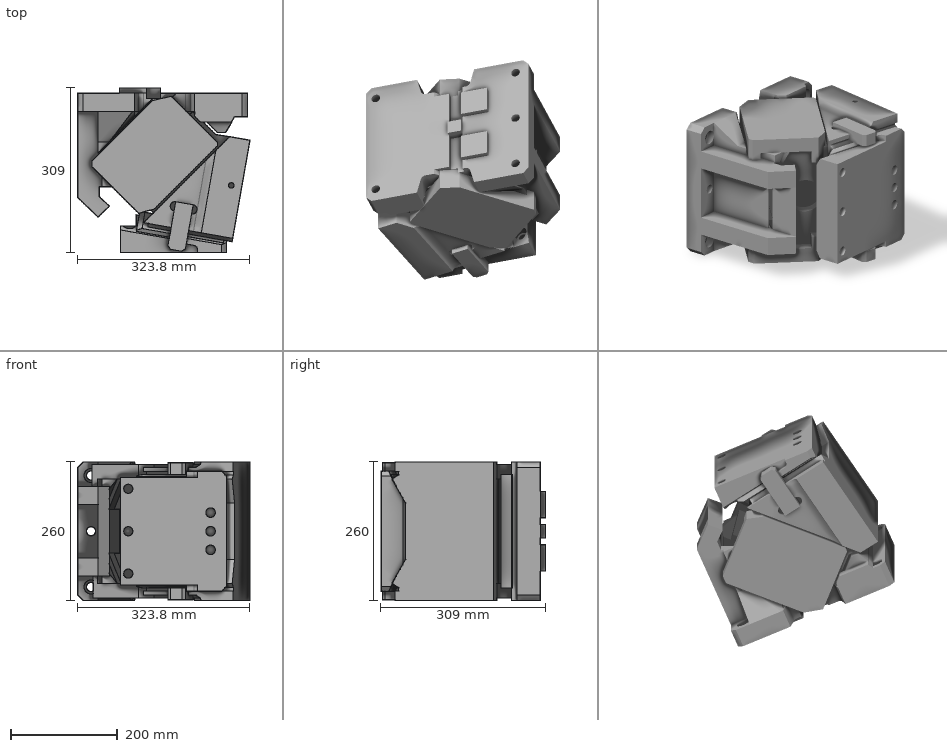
import cadquery as cq
import math

LENGTH = 323.8
HEIGHT = 260.0
HALF_HEIGHT = HEIGHT / 2
PRESS_ANGLE = 10.0
FLANK_ANGLE = math.radians(60)
VEE_SLOPE = math.tan(FLANK_ANGLE)
FLANK_DEPTH_SHARE = math.sin(FLANK_ANGLE)
MARGIN = 485.7

TRAVEL_ACROSS = (1, -1, 0)
TRAVEL_ALONG = (1, 1, 0)
SIN_PRESS = math.sin(math.radians(PRESS_ANGLE))
COS_PRESS = math.cos(math.radians(PRESS_ANGLE))
PRESS_STROKE = (COS_PRESS, -SIN_PRESS, 0)
PRESS_RISE = (SIN_PRESS, COS_PRESS, 0)


def travel_plan(z=0.0):
    return cq.Workplane(cq.Plane((0, 0, z), TRAVEL_ACROSS, (0, 0, 1)))


def press_plan(z=0.0):
    return cq.Workplane(cq.Plane((0, 0, z), PRESS_STROKE, (0, 0, 1)))


def travel_section(along):
    """Section plane across the 45 degree travel, at a distance along it."""
    shift = along / math.sqrt(2)
    return cq.Workplane(cq.Plane((shift, shift, 0), TRAVEL_ACROSS, TRAVEL_ALONG))


def press_section(stroke):
    """Section plane across the driver travel; local x is "rise" and local y is Z."""
    origin = (stroke * COS_PRESS, -stroke * SIN_PRESS, 0)
    return cq.Workplane(cq.Plane(origin, PRESS_RISE, PRESS_STROKE))


def slab(points, half_height):
    """Plan outline in X and Y, extruded equally up and down from Z = 0."""
    return cq.Workplane("XY").polyline(points).close().extrude(half_height, both=True)


def box(x0, x1, y0, y1, z0, z1):
    return cq.Workplane("XY").box(x1 - x0, y1 - y0, z1 - z0, centered=False).translate((x0, y0, z0))


def mirrored(upper):
    """The upper feature together with its mirror image below Z = 0."""
    return upper.union(upper.mirror("XY"))


def hole_along_y(x, z, diameter, y, depth):
    """Round hole whose mouth is at y and which runs towards +Y."""
    axis = cq.Vector(0, 1, 0)
    return cq.Workplane(cq.Solid.makeCylinder(diameter / 2, depth, cq.Vector(x, y, z), axis))


BED_ACROSS = -67.5
BED_HALF = 40.8
CORE_HALF = 98.0
BED_MOUTH_ACROSS = BED_ACROSS + (CORE_HALF - BED_HALF) / VEE_SLOPE
GROOVE_END_ALONG = 345.0
PLATE_ROOM_END_ALONG = 336.0
RIDGE_FOOT_RISE = 65.5
RIDGE_FOOT_HALF = 106.5
RIDGE_TOP_RISE = 96.5


def ridge_half(rise):
    """Half width of the press guide at a given rise."""
    return RIDGE_FOOT_HALF - (rise - RIDGE_FOOT_RISE) * VEE_SLOPE


BAR_LEFT, BAR_RIGHT = 164.8, 198.2
BAR_FRONT, BAR_BACK = 36.3, 126.0
BAR_BOTTOM, BAR_TOP = 106.5, 129.0
PLATE_TOP = 125.3
PLATE_LEFT, PLATE_RIGHT = -102.3, 44.0
PLATE_FRONT, PLATE_BACK = 133.0, 332.0
LIP_INNER = -80.3
LIP_CLEARANCE = 2.3

ARM_THICK = 41.0
ARM_INNER, ARM_OUTER = 50.0, 84.2
LIP_BOTTOM = ARM_OUTER

BASE_LENGTH = 319.3
BASE_BACK = 299.2
WALL_FRONT = 264.5
RIGHT_WALL_FRONT = 255.0
WALL_CHAMFER = 10.5
NOTCH_LEFT, NOTCH_RIGHT = 107.0, 219.5
NOTCH_FLOOR = 94.0
NOTCH_TAPER = 9.7
NOTCH_FILLET = 9.7

WEB_FACE = 38.5
CORE_FRONT = 123.0
CORE_LEDGE_X = 45.5
BOSS_FRONT = 244.8
NOSE_FRONT = 225.0
NOSE_HALF = 107.0
GUSSET_TAPER = 9.7

BOLT_X, BOLT_Z = 25.3, 104.5
RIGHT_BOLT_X = 300.5
BOLT_DIAMETER = 17.0
COUNTERBORE_DIAMETER = 26.2
COUNTERBORE_DEPTH = 16.2

KEY_BACK = 309.0
PAD_LEFT, KEY_LEFT, KEY_RIGHT = 78.7, 129.5, 155.8
PAD_LOW, PAD_HIGH = 25.3, 74.8
KEY_SEAT = 289.2
KEY_HALF = 13.0


def back_wall():
    """Chamfered wall with a tapered notch above and below its middle."""
    wall = box(0, BASE_LENGTH, WALL_FRONT, BASE_BACK, -HALF_HEIGHT, HALF_HEIGHT)
    wall = wall.union(box(NOTCH_RIGHT, BASE_LENGTH, RIGHT_WALL_FRONT, BASE_BACK, -HALF_HEIGHT, HALF_HEIGHT))
    wall = wall.edges("|Y and (<X or >X)").chamfer(WALL_CHAMFER)
    notch = (
        cq.Workplane("XZ", origin=(0, BASE_BACK + 3.2, 0))
        .moveTo(NOTCH_LEFT, HALF_HEIGHT)
        .lineTo(NOTCH_LEFT + NOTCH_TAPER, NOTCH_FLOOR)
        .lineTo(NOTCH_RIGHT - NOTCH_TAPER, NOTCH_FLOOR)
        .lineTo(NOTCH_RIGHT, HALF_HEIGHT)
        .close()
        .extrude(MARGIN)
        .edges("|Y and <Z")
        .fillet(NOTCH_FILLET)
    )
    return wall.cut(mirrored(notch))


def right_boss():
    """Pad on the right of the wall, with a lower tapered nose."""
    boss_right, boss_foot = 289.0, 295.0
    nose_right, nose_foot = 277.8, 289.8
    boss = slab([(NOTCH_RIGHT, WALL_FRONT), (NOTCH_RIGHT, BOSS_FRONT), (boss_right, BOSS_FRONT),
                 (boss_foot, RIGHT_WALL_FRONT), (boss_foot, WALL_FRONT)], HALF_HEIGHT)
    nose = slab([(NOTCH_RIGHT, WALL_FRONT), (NOTCH_RIGHT, NOSE_FRONT), (nose_right, NOSE_FRONT),
                 (nose_foot, BOSS_FRONT), (nose_foot, WALL_FRONT)], NOSE_HALF)
    return boss.union(nose)


def guide_core():
    """Body that carries the 45 degree groove."""
    mouth_shift = BED_MOUTH_ACROSS * math.sqrt(2)
    core = slab([(ARM_THICK, CORE_FRONT), (CORE_FRONT + mouth_shift, CORE_FRONT),
                 (WALL_FRONT + mouth_shift, WALL_FRONT), (ARM_THICK, WALL_FRONT)], CORE_HALF)
    ledge = box(ARM_THICK, CORE_LEDGE_X, CORE_FRONT, WALL_FRONT, ARM_OUTER, CORE_HALF)
    return core.cut(mirrored(ledge))


def gussets():
    """Sloped ribs from the core up to the wall, tapered on the side towards the slider."""
    foot, end = 207.2, 187.0
    rib = (
        cq.Workplane("YZ", origin=(WEB_FACE, 0, 0))
        .polyline([(WALL_FRONT, 0), (WALL_FRONT, HALF_HEIGHT), (foot, CORE_HALF), (end, CORE_HALF), (end, 0)])
        .close()
        .extrude(NOTCH_LEFT - WEB_FACE)
    )
    channel_side = PLATE_LEFT - LIP_CLEARANCE
    taper = (
        travel_section(0)
        .polyline([(-MARGIN, -HALF_HEIGHT), (channel_side - GUSSET_TAPER, -HALF_HEIGHT),
                   (channel_side, -CORE_HALF), (channel_side, CORE_HALF),
                   (channel_side - GUSSET_TAPER, HALF_HEIGHT), (-MARGIN, HALF_HEIGHT)])
        .close()
        .extrude(MARGIN)
    )
    return mirrored(rib).intersect(taper)


def arms():
    """Two hooked arms on the left, with a web at their tips and a thin panel up to the wall."""
    panel_front = 133.7
    tip_left, tip, tip_right, throat = (0, 103.3), (WEB_FACE, 66.5), (60.0, 87.0), (ARM_THICK, 104.5)
    outline = [(0, WALL_FRONT), tip_left, tip, tip_right, throat, (ARM_THICK, WALL_FRONT)]
    web = slab([tip, tip_right, throat, (ARM_THICK, CORE_FRONT), (WEB_FACE, CORE_FRONT)], ARM_INNER)
    arm = cq.Workplane("XY", origin=(0, 0, ARM_INNER)).polyline(outline).close().extrude(ARM_OUTER - ARM_INNER)
    panel = box(WEB_FACE, ARM_THICK, panel_front, WALL_FRONT, -ARM_INNER, ARM_INNER)
    return mirrored(arm).union(web).union(panel)


def guide_groove():
    """Space for the slider: a vee groove, and room above and below it for the side plates."""
    groove = (
        travel_section(GROOVE_END_ALONG - MARGIN)
        .polyline([(BED_ACROSS, -BED_HALF), (BED_MOUTH_ACROSS, -CORE_HALF), (BED_MOUTH_ACROSS, -NOSE_HALF),
                   (MARGIN, -NOSE_HALF), (MARGIN, NOSE_HALF), (BED_MOUTH_ACROSS, NOSE_HALF),
                   (BED_MOUTH_ACROSS, CORE_HALF), (BED_ACROSS, BED_HALF)])
        .close()
        .extrude(MARGIN)
    )
    plate_room = (
        travel_section(PLATE_ROOM_END_ALONG - MARGIN)
        .center(BED_MOUTH_ACROSS + MARGIN / 2, 0)
        .rect(MARGIN, 2 * HALF_HEIGHT)
        .extrude(MARGIN)
    )
    return groove.union(plate_room)


def lip_channels():
    """Channels behind the guide, in which the lips of the side plates run."""
    outer = PLATE_LEFT - LIP_CLEARANCE
    channel = travel_section(0).polyline(
        [(outer, LIP_BOTTOM), (outer, HALF_HEIGHT), (LIP_INNER, HALF_HEIGHT), (LIP_INNER, LIP_BOTTOM)]
    ).close().extrude(MARGIN)
    return mirrored(channel)


def fit_keys(base):
    """Two pads on the rear face, and a central key in an upright slot beside them."""
    pad = box(PAD_LEFT, KEY_LEFT, BASE_BACK, KEY_BACK, PAD_LOW, PAD_HIGH)
    slot = box(KEY_LEFT, KEY_RIGHT, KEY_SEAT, BASE_BACK, -HALF_HEIGHT, HALF_HEIGHT)
    key = box(KEY_LEFT, KEY_RIGHT, KEY_SEAT, KEY_BACK, -KEY_HALF, KEY_HALF)
    return base.union(mirrored(pad)).cut(slot).union(key)


def drill_base(base):
    """Counterbored holes near the four corners and a plain one between the arms."""
    for x, face in ((BOLT_X, WALL_FRONT), (RIGHT_BOLT_X, RIGHT_WALL_FRONT)):
        for z in (-BOLT_Z, BOLT_Z):
            base = base.cut(hole_along_y(x, z, BOLT_DIAMETER, face, MARGIN))
            base = base.cut(hole_along_y(x, z, COUNTERBORE_DIAMETER, face, COUNTERBORE_DEPTH))
    return base.cut(hole_along_y(BOLT_X, 0, BOLT_DIAMETER, WALL_FRONT, MARGIN))


def make_base():
    base = back_wall().union(right_boss()).union(guide_core()).union(gussets())
    base = base.cut(guide_groove()).union(arms()).cut(lip_channels())
    return drill_base(fit_keys(base))


DRIVER_LEFT, DRIVER_RIGHT = 80.3, 279.8
DRIVER_HALF = 112.7
DRIVER_LOW_HALF = 101.0
LOW_END_X = 225.0
DRIVER_CHAMFER = 9.5
SHELF_Y = 50.2
COLUMN_LEFT, COLUMN_BACK = 110.0, 73.0
HIGH_START_X = 187.8
HIGH_FLANK_RISE = 61.5
LOW_FLANK_RISE = 55.7
POCKET_RISE = 51.2
POCKET_RADIUS = 8.0
PAD_START, PAD_END = 101.7, 266.5
LEAD_IN_END, LEAD_IN_DEPTH = 111.5, 5.5


def flanked_plate(x0, x1, y1, half_height, flank_rise):
    """Upright plate whose rear is tapered along the press guide."""
    core_top = 89.0
    top_half = half_height - (core_top - flank_rise) * VEE_SLOPE
    taper = (
        press_section(-MARGIN)
        .polyline([(-MARGIN, -half_height), (flank_rise, -half_height), (core_top, -top_half),
                   (core_top, top_half), (flank_rise, half_height), (-MARGIN, half_height)])
        .close()
        .extrude(2 * MARGIN)
    )
    return box(x0, x1, 0, y1, -HALF_HEIGHT, HALF_HEIGHT).intersect(taper)


def bar_pocket():
    """Clearance pocket for the return bar in the full-height part."""
    def edge_y(x):
        return (POCKET_RISE - x * SIN_PRESS) / COS_PRESS

    left = HIGH_START_X - 3.2
    outline = [(left, -POCKET_RADIUS), (LOW_END_X, -POCKET_RADIUS), (LOW_END_X, edge_y(LOW_END_X)),
               (left, edge_y(left))]
    pocket = cq.Workplane("XY", origin=(0, 0, DRIVER_LOW_HALF)).polyline(outline).close().extrude(HALF_HEIGHT)
    pocket = pocket.edges("|Z").edges(">X").edges(">Y").fillet(POCKET_RADIUS)
    bar_path = press_plan(DRIVER_LOW_HALF).rect(2 * BAR_RIGHT, MARGIN).extrude(HALF_HEIGHT)
    return pocket.union(bar_path)


def ridge_section(stroke, inset):
    """Outline of the ridge whose flanks are moved inwards by an inset; its lower edges are square to them."""
    edge_rise = 58.3
    edge_half = RIDGE_FOOT_HALF - (RIDGE_FOOT_RISE - edge_rise) / VEE_SLOPE
    foot_rise = RIDGE_FOOT_RISE - inset * FLANK_DEPTH_SHARE
    foot_half = RIDGE_FOOT_HALF - inset * FLANK_DEPTH_SHARE / VEE_SLOPE
    top_half = ridge_half(RIDGE_TOP_RISE) - inset * FLANK_DEPTH_SHARE * (VEE_SLOPE + 1 / VEE_SLOPE)
    return press_section(stroke).polyline(
        [(edge_rise, -edge_half), (foot_rise, -foot_half), (RIDGE_TOP_RISE, -top_half),
         (RIDGE_TOP_RISE, top_half), (foot_rise, foot_half), (edge_rise, edge_half)]
    ).close()


def wear_ridge():
    """Vee ridge on the driver, with a tapered lead-in at its left end."""
    full = ridge_section(LEAD_IN_END, 0).extrude(PAD_END - LEAD_IN_END)
    sections = [ridge_section(PAD_START, LEAD_IN_DEPTH).val(), ridge_section(LEAD_IN_END, 0).val()]
    return full.union(cq.Workplane(cq.Solid.makeLoft(sections, True)))


def driver_holes():
    """Bolt holes through the left edge, counterbored from behind, and blind holes."""
    left_x, left_z, left_diameter, dowel_depth = 95.2, 79.5, 17.2, 26
    right_x, right_z, right_diameter, right_depth = 249.5, 35.0, 17.8, 16.2
    counterbore_y, counterbore_diameter = 30.8, 24.5
    counterbore_depth = SHELF_Y - counterbore_y
    holes = hole_along_y(left_x, 0, left_diameter, 0, dowel_depth)
    for z in (-left_z, left_z):
        holes = holes.union(hole_along_y(left_x, z, left_diameter, 0, SHELF_Y))
        holes = holes.union(hole_along_y(left_x, z, counterbore_diameter, counterbore_y, counterbore_depth))
    for z in (-right_z, 0, right_z):
        holes = holes.union(hole_along_y(right_x, z, right_diameter, 0, right_depth))
    return holes


def make_driver():
    """Upright plate: a shelf on the left, a low part, and a full-height part on the right."""
    high = flanked_plate(HIGH_START_X, DRIVER_RIGHT, COLUMN_BACK, DRIVER_HALF, HIGH_FLANK_RISE)
    outline = box(HIGH_START_X, DRIVER_RIGHT, 0, COLUMN_BACK, -DRIVER_HALF, DRIVER_HALF)
    high = high.intersect(outline.edges("|Y and >X").chamfer(DRIVER_CHAMFER)).cut(mirrored(bar_pocket()))
    shelf = flanked_plate(DRIVER_LEFT, COLUMN_LEFT, SHELF_Y, DRIVER_LOW_HALF, LOW_FLANK_RISE)
    low = flanked_plate(COLUMN_LEFT, HIGH_START_X, COLUMN_BACK, DRIVER_LOW_HALF, LOW_FLANK_RISE)
    return high.union(low).union(shelf).union(wear_ridge()).cut(driver_holes())


SLIDER_RISE_END = 264.0
SLIDER_STROKE_END = (LENGTH - SLIDER_RISE_END * SIN_PRESS) / COS_PRESS
SLIDER_FRONT_ALONG = 153.5
SLIDER_BACK_ALONG = 340.0
BLOCK_ACROSS = 48.0
BLOCK_FRONT = 76.7
STEP_Z = 119.8
COVE_START = 207.2
COVE_RADIUS = 16.2
RECESS_ACROSS = -41.8
RECESS_HALF = 42.0
STRIP_WIDTH_ACROSS = 10.7
STRIP_START = 139.2
REBATE_HALF, REBATE_RISE = 111.7, 83.2
UPPER_PLATE_CHAMFER, LOWER_PLATE_CHAMFER = 7.0, 10.5
BAR_CHAMFER = 5.8
RELIEF_RADIUS = 8.7
BORE_ACROSS, BORE_RADIUS, BORE_DEPTH = 5.5, 31.7, 21.5
LIFT_X, LIFT_Y, LIFT_RADIUS, LIFT_DEPTH = 288.5, 126.0, 5.2, 19.5


def slider_block():
    """Block beside the side plates, stepped down on its left with a cove along the step."""
    block = (
        press_plan(-HALF_HEIGHT)
        .polyline([(0, BLOCK_FRONT), (SLIDER_STROKE_END, BLOCK_FRONT),
                   (SLIDER_STROKE_END, SLIDER_RISE_END), (0, SLIDER_RISE_END)])
        .close()
        .extrude(HEIGHT)
    )
    beside_plates = (
        travel_section(-MARGIN)
        .center(BLOCK_ACROSS + MARGIN / 2, 0)
        .rect(MARGIN, MARGIN)
        .extrude(3 * MARGIN)
    )
    step = press_plan(STEP_Z).rect(2 * COVE_START, 2 * MARGIN).extrude(HALF_HEIGHT)
    cove_axis = (COVE_START * COS_PRESS, -COVE_START * SIN_PRESS, STEP_Z + COVE_RADIUS)
    cove = cq.Workplane(cq.Plane(cove_axis, PRESS_STROKE, PRESS_RISE)).circle(COVE_RADIUS).extrude(MARGIN)
    return block.intersect(beside_plates).cut(mirrored(step.union(cove)))


def flank(z):
    """Position across the travel of the slider flank at a given height."""
    return BED_ACROSS + STRIP_WIDTH_ACROSS + (z - BED_HALF) / VEE_SLOPE


def slider_core():
    """Guide body between the side plates, with sloped flanks and a central recess."""
    rear_corner = 26.5
    across_part = BLOCK_ACROSS * (COS_PRESS - SIN_PRESS)
    block_back = (SLIDER_RISE_END * math.sqrt(2) + across_part) / (COS_PRESS + SIN_PRESS)
    plan = (
        travel_plan(-CORE_HALF)
        .polyline([(BED_ACROSS, SLIDER_FRONT_ALONG), (BLOCK_ACROSS, SLIDER_FRONT_ALONG),
                   (BLOCK_ACROSS, block_back), (rear_corner, SLIDER_BACK_ALONG), (BED_ACROSS, SLIDER_BACK_ALONG)])
        .close()
        .extrude(2 * CORE_HALF)
    )
    profile = (
        travel_section(0)
        .polyline([(RECESS_ACROSS, -RECESS_HALF), (flank(RECESS_HALF), -RECESS_HALF),
                   (flank(CORE_HALF), -CORE_HALF), (BLOCK_ACROSS, -CORE_HALF), (BLOCK_ACROSS, CORE_HALF),
                   (flank(CORE_HALF), CORE_HALF), (flank(RECESS_HALF), RECESS_HALF),
                   (RECESS_ACROSS, RECESS_HALF)])
        .close()
        .extrude(MARGIN)
    )
    return plan.intersect(profile)


def guide_strips():
    """Wear strips on the slider flanks, reaching a little past its front end."""
    strip = (
        travel_section(STRIP_START)
        .polyline([(BED_ACROSS, BED_HALF), (BED_MOUTH_ACROSS, CORE_HALF),
                   (flank(CORE_HALF), CORE_HALF), (flank(BED_HALF), BED_HALF)])
        .close()
        .extrude(SLIDER_BACK_ALONG - STRIP_START)
    )
    return mirrored(strip)


def plate_outline(z, left_chamfer):
    """Rectangle with its four corners cut off, in the travel frame."""
    front_right, right_front = 29.0, 159.3
    right_back, back_right = 327.0, 39.2
    back_left, left_back = -83.0, 300.8
    return travel_plan(z).polyline(
        [(PLATE_LEFT + left_chamfer, PLATE_FRONT), (front_right, PLATE_FRONT), (PLATE_RIGHT, right_front),
         (PLATE_RIGHT, right_back), (back_right, PLATE_BACK), (back_left, PLATE_BACK),
         (PLATE_LEFT, left_back), (PLATE_LEFT, PLATE_FRONT + left_chamfer)]
    ).close()


def side_plate(left_chamfer):
    """Upper side plate with a lip on each long side."""
    right_lip_inner, right_lip_bottom = 16.2, 75.0
    plate = plate_outline(CORE_HALF, left_chamfer).extrude(PLATE_TOP - CORE_HALF)
    lips = ((PLATE_LEFT, LIP_INNER, LIP_BOTTOM), (right_lip_inner, PLATE_RIGHT, right_lip_bottom))
    for left, right, bottom in lips:
        band = travel_section(0).center((left + right) / 2, 0).rect(right - left, MARGIN).extrude(MARGIN)
        plate = plate.union(plate_outline(bottom, left_chamfer).extrude(CORE_HALF - bottom).intersect(band))
    return plate


def driver_groove():
    """Vee groove for the driver ridge, with a square rebate at its mouth."""
    top_half, mouth_half = ridge_half(RIDGE_TOP_RISE), ridge_half(0)
    vee = (
        press_section(0)
        .polyline([(0, -mouth_half), (RIDGE_TOP_RISE, -top_half), (RIDGE_TOP_RISE, top_half), (0, mouth_half)])
        .close()
        .extrude(MARGIN)
    )
    rebate = press_section(0).rect(2 * REBATE_RISE, 2 * REBATE_HALF).extrude(MARGIN)
    return vee.union(rebate)


def press_strips():
    """Wear strips on the groove flanks; their lower edges are square to the flanks."""
    edge_rise, root_rise, strip_start = 70.3, 85.8, 121.5
    edge_half = ridge_half(edge_rise)
    root_half = edge_half + (root_rise - edge_rise) / VEE_SLOPE
    strip = (
        press_section(strip_start)
        .polyline([(edge_rise, edge_half), (root_rise, root_half), (root_rise, ridge_half(root_rise))])
        .close()
        .extrude(SLIDER_STROKE_END - strip_start)
    )
    return mirrored(strip)


def return_bar():
    """Upper bar that reaches from the block over the driver."""
    bar = (
        press_plan(BAR_BOTTOM)
        .center((BAR_LEFT + BAR_RIGHT) / 2, (BAR_FRONT + BAR_BACK) / 2)
        .rect(BAR_RIGHT - BAR_LEFT, BAR_BACK - BAR_FRONT)
        .extrude(BAR_TOP - BAR_BOTTOM)
    )
    return bar.faces("<Y").edges("|Z").chamfer(BAR_CHAMFER)


def corner_reliefs():
    """Round reliefs at the inner corners of the bar seat."""
    centres = [(BAR_LEFT, BAR_BACK - RELIEF_RADIUS), (BAR_RIGHT, BAR_BACK - RELIEF_RADIUS)]
    return press_plan(BAR_BOTTOM).pushPoints(centres).circle(RELIEF_RADIUS).extrude(HALF_HEIGHT)


def make_slider():
    slider = slider_block().union(slider_core()).union(guide_strips())
    slider = slider.cut(driver_groove()).union(press_strips()).cut(mirrored(corner_reliefs()))
    lower_plate = side_plate(LOWER_PLATE_CHAMFER).mirror("XY")
    slider = slider.union(side_plate(UPPER_PLATE_CHAMFER)).union(lower_plate).union(mirrored(return_bar()))
    spring_bore = travel_section(SLIDER_FRONT_ALONG).center(BORE_ACROSS, 0)
    spring_bore = spring_bore.circle(BORE_RADIUS).extrude(BORE_DEPTH)
    lift_hole = cq.Workplane("XY", origin=(LIFT_X, LIFT_Y, HALF_HEIGHT - LIFT_DEPTH))
    return slider.cut(spring_bore).cut(lift_hole.circle(LIFT_RADIUS).extrude(LIFT_DEPTH))


base = make_base()
driver = make_driver()
slider = make_slider()
result = cq.Compound.makeCompound([base.solids().val(), driver.solids().val(), slider.solids().val()])